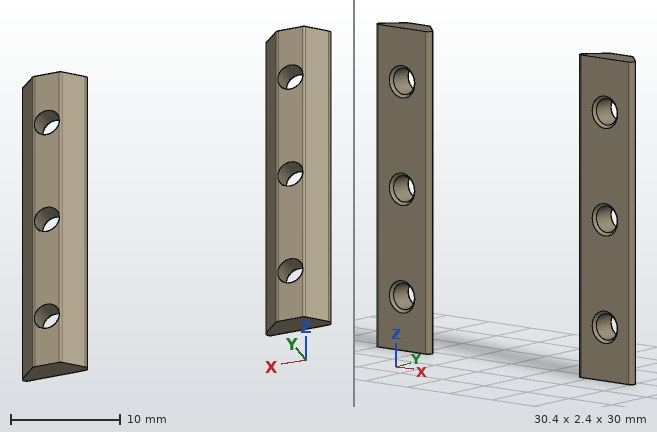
import math

import cadquery as cq

overall_width = 30.37
strip_length = 30.0
strip_width = 6.38
strip_thickness = 2.4
strip_spacing = overall_width - strip_width

edge_radius = 0.4
flank_angle = 45.0

hole_diameter = 2.45
countersink_diameter = 3.0
countersink_angle = 90.0
hole_count = 3
hole_pitch = strip_length / hole_count

front_y = -strip_thickness / 2
back_y = strip_thickness / 2

rounded_tip_loss = edge_radius * (1 / math.tan(math.radians(flank_angle / 2)) - 1)
sharp_front_half = strip_width / 2 + rounded_tip_loss
sharp_back_half = sharp_front_half - strip_thickness / math.tan(math.radians(flank_angle))


def make_bar():
    """Dovetail bar along Z with rounded long edges."""
    outline = [
        (-sharp_front_half, front_y),
        (sharp_front_half, front_y),
        (sharp_back_half, back_y),
        (-sharp_back_half, back_y),
    ]
    bar = cq.Workplane("XY").polyline(outline).close().extrude(strip_length / 2, both=True)
    return bar.edges("|Z").fillet(edge_radius)


def make_clamping_strip(center_x):
    """Bar with a row of countersunk through holes, centred at the given X."""
    strip = (
        make_bar()
        .faces("<Y")
        .workplane(origin=(0, front_y, 0))
        .rarray(strip_width, hole_pitch, 1, hole_count)
        .cskHole(hole_diameter, countersink_diameter, countersink_angle)
    )
    return strip.translate((center_x, 0, 0))


clamping_strips = []
for side in (-1, 1):
    clamping_strips.append(make_clamping_strip(side * strip_spacing / 2).val())

result = cq.Compound.makeCompound(clamping_strips)